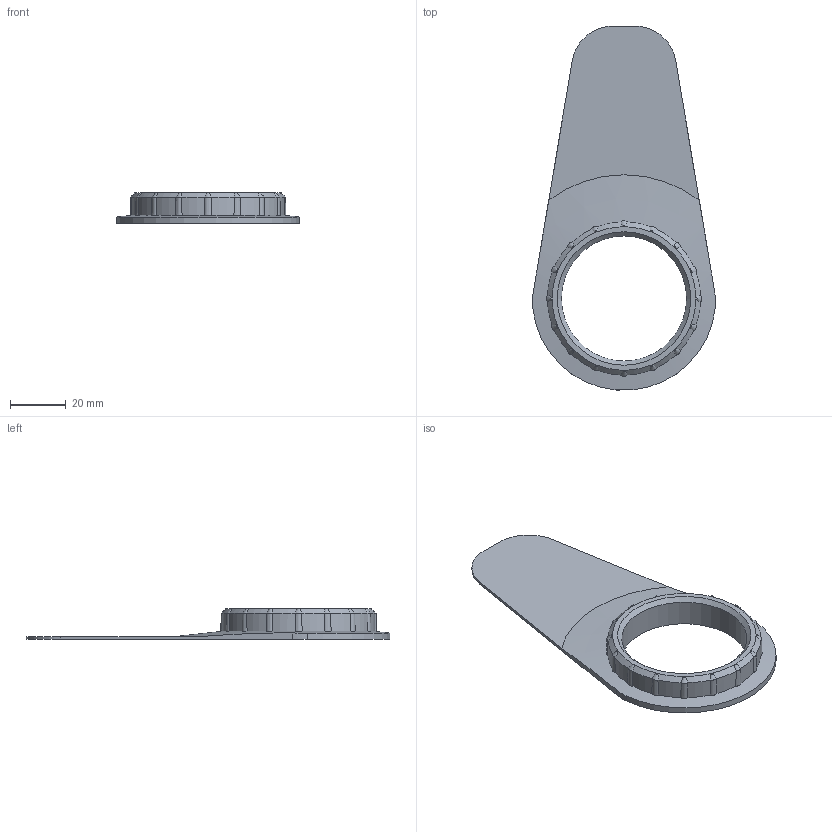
import cadquery as cq
import math

head_radius = 33.0
tongue_length = 98.0
tip_half_width = head_radius / 2
tip_corner_radius = 15.0
shoulder_radius = 20.0

tongue_thickness = 1.0
cone_outer_radius = 44.5
cone_top_radius = 26.0
cone_top_height = 3.0

total_height = 11.0
bore_radius = 45.0 / 2
bore_chamfer = 1.5
ring_radius = 27.5
ring_top_radius = 25.8
ring_chamfer_height = 1.6
ring_chamfer_start = total_height - ring_chamfer_height

rib_count = 16
rib_radius = 2.0
rib_shoulder_radius = 1.85
rib_top_radius = 0.3
rib_projection = 0.5
rib_center_radius = ring_radius + rib_projection - rib_radius


def revolve_profile(points):
    """Solid of revolution about Z from (radius, height) points."""
    profile = cq.Workplane("XZ").polyline(points).close()
    return profile.revolve(360, (0, 0, 0), (0, 1, 0))


def make_outline_prism():
    prism = (
        cq.Workplane("XY")
        .moveTo(head_radius, 0)
        .lineTo(tip_half_width, tongue_length)
        .lineTo(-tip_half_width, tongue_length)
        .lineTo(-head_radius, 0)
        .threePointArc((0, -head_radius), (head_radius, 0))
        .close()
        .extrude(total_height)
    )
    prism = prism.edges("|Z and >Y").fillet(tip_corner_radius)
    for side in ("<X", ">X"):
        prism = prism.edges("|Z").edges(side).fillet(shoulder_radius)
    return prism


def make_plate():
    slab = cq.Workplane("XY").circle(2 * tongue_length).extrude(tongue_thickness)
    cone = revolve_profile([
        (0, 0),
        (cone_outer_radius, 0),
        (cone_outer_radius, tongue_thickness),
        (cone_top_radius, cone_top_height),
        (0, cone_top_height),
    ])
    return make_outline_prism().intersect(slab.union(cone))


def make_ring():
    return revolve_profile([
        (0, 0),
        (ring_radius, 0),
        (ring_radius, ring_chamfer_start),
        (ring_top_radius, total_height),
        (0, total_height),
    ])


def make_rib():
    """Round rib on the +X side that narrows upwards and ends flush with the ring top."""
    rib = revolve_profile([
        (0, 0),
        (rib_radius, 0),
        (rib_shoulder_radius, ring_chamfer_start),
        (rib_top_radius, total_height),
        (0, total_height),
    ])
    return rib.translate((rib_center_radius, 0, 0))


def make_bore():
    chamfer_bottom = total_height - bore_chamfer
    return revolve_profile([
        (0, 0),
        (bore_radius, 0),
        (bore_radius, chamfer_bottom),
        (bore_radius + bore_chamfer, total_height),
        (0, total_height),
    ])


result = make_plate().union(make_ring())
rib = make_rib()
for index in range(rib_count):
    angle = 360 / rib_count * index
    result = result.union(rib.rotate((0, 0, 0), (0, 0, 1), angle))
result = result.cut(make_bore())